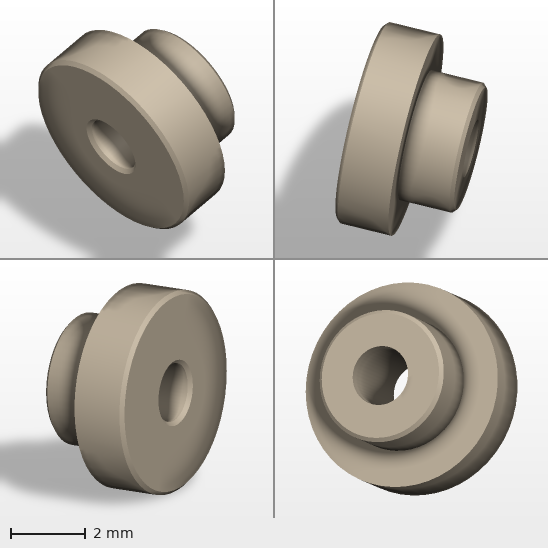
import cadquery as cq

flange_diameter = 5.56
boss_diameter = 3.59
bore_diameter = 1.6
total_length = 3.03
flange_thickness = 1.5
chamfer = 0.1

flange_radius = flange_diameter / 2
boss_radius = boss_diameter / 2
bore_radius = bore_diameter / 2

half_section = [
    (bore_radius + chamfer, 0),
    (flange_radius - chamfer, 0),
    (flange_radius, chamfer),
    (flange_radius, flange_thickness),
    (boss_radius, flange_thickness),
    (boss_radius, total_length - chamfer),
    (boss_radius - chamfer, total_length),
    (bore_radius, total_length),
    (bore_radius, chamfer),
]

result = (
    cq.Workplane("XY")
    .polyline(half_section)
    .close()
    .revolve(360, (0, 0, 0), (0, 1, 0))
)